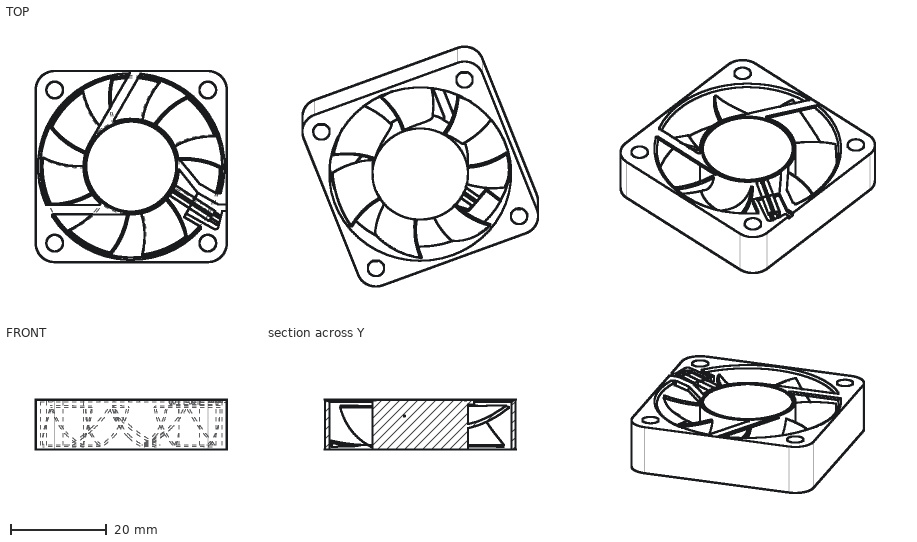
import cadquery as cq
import math

side = 40.0
height = 10.5
corner_radius = 4.0
hole_diameter = 3.45
hole_pitch = 32.0
bore_diameter = 38.0
bore_chamfer = 0.5
bore_radius = bore_diameter / 2
rim_radius = bore_radius + bore_chamfer

hub_diameter = 20.0
hub_radius = hub_diameter / 2
groove_outer_diameter = 19.2
groove_inner_diameter = 18.8
groove_depth = 0.2

spoke_width = 2.0
spoke_thickness = 0.5
plate_thickness = 1.1
plain_spoke_angles = (180, 60)
rim_width = 0.4
fillet_radius = 0.3
rounded_corners = [
    (-6, -8, 0),
    (-3.9, 9.2, 0),
    (-16.75, -10, 0),
    (18.7, -5.6, 0),
    (14.8, -12.75, 0),
]

channel_depth = 0.65
channel_fillet = 0.65
wire_diameter = 1.0
core_diameter = 0.6
wire_angle = -33.0
wire_spacing = 1.45
wire_offset = 1.25
wire_start = 9.6
wire_end = 19.85
core_end = 21.6
wire_axis_z = -wire_diameter / 2

blade_count = 7
first_blade_angle = 35.0
blade_tip_radius = 18.55
blade_top = -1.5
blade_bottom = -9.7
blade_thickness = 0.5
blade_bow = 1.1
blade_root = (8.0, -1.55, 3.9)
blade_middle = (13.2, -2.25, 5.3)
blade_tip = (18.8, -5.35, 4.9)


def slab(points, thickness):
    """Flat plate with its top face at z = 0."""
    return cq.Workplane("XY").polyline(points).close().extrude(-thickness)


def make_frame():
    frame = cq.Workplane("XY").rect(side, side).extrude(-height).edges("|Z").fillet(corner_radius)
    bore = cq.Workplane("XY").circle(bore_radius).extrude(-height)
    holes = (
        cq.Workplane("XY")
        .rect(hole_pitch, hole_pitch, forConstruction=True)
        .vertices()
        .circle(hole_diameter / 2)
        .extrude(-height)
    )
    mouth = cq.selectors.RadiusNthSelector(-1)
    frame = frame.cut(bore).faces(">Z").edges("%CIRCLE").edges(mouth).chamfer(bore_chamfer)
    return frame.cut(holes)


def make_hub_groove():
    return (
        cq.Workplane("XY")
        .circle(groove_outer_diameter / 2)
        .circle(groove_inner_diameter / 2)
        .extrude(-groove_depth)
    )


def make_plain_spoke(angle):
    """Straight spoke whose outer edge is tangent to the hub."""
    spoke = slab(
        [
            (0, hub_radius),
            (rim_radius, hub_radius),
            (rim_radius, hub_radius - spoke_width),
            (0, hub_radius - spoke_width),
        ],
        spoke_thickness,
    )
    return spoke.rotate((0, 0, 0), (0, 0, 1), angle)


def make_cable_spoke():
    """Bent spoke that widens into the plate under the cable channel."""
    return slab(
        [
            (8, 4.05),
            (14.3, -3.6),
            (17.75, -5.6),
            (19.2, -5.6),
            (19.2, -9.6),
            (17.6, -13.2),
            (15.2, -13.0),
            (11.05, -10.55),
            (13.9, -5.5),
            (8, 1.9),
        ],
        plate_thickness,
    )


def make_spider():
    """Hub disc, spokes and rim joined, with rounded opening corners."""
    disc = cq.Workplane("XY").circle(hub_radius).extrude(-plate_thickness)
    rim_outer_radius = rim_radius + rim_width
    rim = cq.Workplane("XY").circle(rim_outer_radius).circle(rim_radius).extrude(-plate_thickness)
    limit = cq.Workplane("XY").circle(rim_outer_radius).extrude(-plate_thickness)
    spider = disc.union(rim).union(make_cable_spoke())
    for angle in plain_spoke_angles:
        spider = spider.union(make_plain_spoke(angle))
    spider = spider.intersect(limit)
    for corner in rounded_corners:
        edge = spider.edges("|Z").edges(cq.selectors.NearestToPointSelector(corner))
        spider = edge.fillet(fillet_radius)
    return spider


def make_channel():
    channel = slab(
        [
            (13.9, -5.5),
            (18.25, -7.95),
            (side / 2, -7.95),
            (side / 2, -9.25),
            (19.05, -9.25),
            (18, -13.45),
            (11.5, -9.8),
        ],
        channel_depth,
    )
    inner_corner = cq.selectors.NearestToPointSelector((18, -13.45, -channel_depth / 2))
    return channel.edges("|Z").edges(inner_corner).fillet(channel_fillet)


def make_wire(offset):
    """Insulated wire whose bare core ends inside the frame."""
    plane = cq.Plane(
        origin=(0, 0, wire_axis_z),
        xDir=(math.sin(math.radians(wire_angle)), -math.cos(math.radians(wire_angle)), 0),
        normal=(math.cos(math.radians(wire_angle)), math.sin(math.radians(wire_angle)), 0),
    )
    start = cq.Workplane(plane).workplane(offset=wire_start).center(-offset, 0)
    insulation = start.circle(wire_diameter / 2).extrude(wire_end - wire_start)
    core = start.circle(core_diameter / 2).extrude(core_end - wire_start)
    return insulation.union(core)


def blade_section(distance, lower, upper):
    """Closed crescent in a plane square to the blade's radial line."""
    chord_y = upper - lower
    chord_z = blade_top - blade_bottom
    chord = math.hypot(chord_y, chord_z)
    normal_y = chord_z / chord
    normal_z = -chord_y / chord

    def place(along, across):
        return cq.Vector(
            distance,
            lower + along * chord_y + across * normal_y,
            blade_bottom + along * chord_z + across * normal_z,
        )

    half = blade_thickness / 2
    front = cq.Edge.makeThreePointArc(place(0, half), place(0.5, blade_bow + half), place(1, half))
    back = cq.Edge.makeThreePointArc(place(1, -half), place(0.5, blade_bow - half), place(0, -half))
    upper_edge = cq.Edge.makeLine(place(1, half), place(1, -half))
    lower_edge = cq.Edge.makeLine(place(0, -half), place(0, half))
    return cq.Wire.assembleEdges([front, upper_edge, back, lower_edge])


def make_blade():
    sections = [blade_section(*section) for section in (blade_root, blade_middle, blade_tip)]
    limit = cq.Workplane("XY").circle(blade_tip_radius).extrude(-height)
    return cq.Workplane(cq.Solid.makeLoft(sections)).intersect(limit)


hub = cq.Workplane("XY").circle(hub_radius).extrude(-height)
body = make_frame().union(hub).union(make_spider())
body = body.cut(make_channel()).cut(make_hub_groove())

blade = make_blade()
for index in range(blade_count):
    blade_angle = first_blade_angle + index * 360 / blade_count
    body = body.union(blade.rotate((0, 0, 0), (0, 0, 1), blade_angle))

for wire_number in range(2):
    body = body.union(make_wire(wire_offset - wire_number * wire_spacing))

result = body